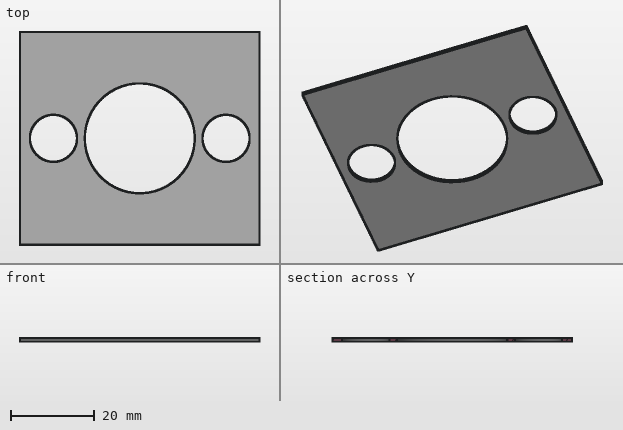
import cadquery as cq

plate_length = 57.15
plate_width = 50.8
plate_thickness = 0.81

center_hole_diameter = 26.16
side_hole_diameter = 11.18
side_hole_spacing = 41.15


def make_plate():
    """Flat plate with its underside on Z = 0."""
    return cq.Workplane("XY").box(
        plate_length, plate_width, plate_thickness, centered=(True, True, False)
    )


def cut_center_hole(plate):
    """Large opening through the middle of the plate."""
    return plate.faces(">Z").workplane(origin=(0, 0)).hole(center_hole_diameter)


def cut_side_holes(plate):
    """Equal holes on the X axis, one each side of the central opening."""
    side_hole_x = side_hole_spacing / 2
    return (
        plate.faces(">Z")
        .workplane(origin=(0, 0))
        .pushPoints([(-side_hole_x, 0), (side_hole_x, 0)])
        .hole(side_hole_diameter)
    )


plate = make_plate()
plate = cut_center_hole(plate)
result = cut_side_holes(plate)